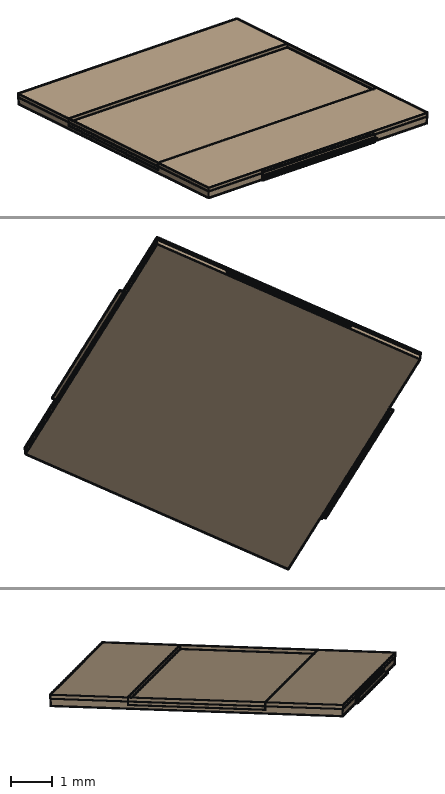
import cadquery as cq
import math

TOP_LENGTH = 7.14
TOP_WIDTH = 6.83
HEIGHT = 0.28
DRAFT_ANGLE = 2.8
BASE_HEIGHT = 0.18

CHANNEL_LENGTH = 3.35
END_WALL = 0.004
PAD_BOTTOM = 0.095

LEAD_WIDTH = 3.49
LEAD_SPAN = 7.4
FLANGE_SPAN = 7.2
FLANGE_HEIGHT = 0.21
TAB_BOTTOM = 0.1
TAB_THICKNESS = 0.03

DRAFT_SLOPE = math.tan(math.radians(DRAFT_ANGLE))
LID_HEIGHT = HEIGHT - BASE_HEIGHT


def box(x_range, y_range, z_range):
    """Axis-aligned block between the given (low, high) limits."""
    lows, highs = zip(x_range, y_range, z_range)
    sizes = [high - low for low, high in zip(lows, highs)]
    return cq.Workplane("XY").box(*sizes, centered=False).translate(lows)


def package_layer(bottom, top):
    """Slice of the drafted package between two heights."""
    drop_to_top = HEIGHT - top
    inset = 2 * drop_to_top * DRAFT_SLOPE
    return (
        cq.Workplane("XY", origin=(0, 0, top))
        .rect(TOP_LENGTH - inset, TOP_WIDTH - inset)
        .extrude(bottom - top, taper=DRAFT_ANGLE)
    )


def end_pads(bottom, top):
    """Upright-faced block through the package that fills out both drafted Y ends."""
    return box(
        (-CHANNEL_LENGTH / 2, CHANNEL_LENGTH / 2),
        (-TOP_WIDTH / 2, TOP_WIDTH / 2),
        (bottom, top),
    )


def make_base():
    return package_layer(0, BASE_HEIGHT).union(end_pads(PAD_BOTTOM, BASE_HEIGHT))


def lid_channel():
    """Recess through the full lid height; its Y ends follow the draft of the package."""
    half_width_top = TOP_WIDTH / 2 - END_WALL
    half_width_bottom = half_width_top - LID_HEIGHT * DRAFT_SLOPE
    return (
        cq.Workplane("YZ", origin=(-CHANNEL_LENGTH / 2, 0, 0))
        .polyline([
            (-half_width_bottom, BASE_HEIGHT),
            (half_width_bottom, BASE_HEIGHT),
            (half_width_top, HEIGHT),
            (-half_width_top, HEIGHT),
        ])
        .close()
        .extrude(CHANNEL_LENGTH)
    )


def make_lid():
    plate = package_layer(BASE_HEIGHT, HEIGHT).union(end_pads(BASE_HEIGHT, HEIGHT))
    return plate.cut(lid_channel())


def make_lead(side):
    """Lead on the +X (side = 1) or -X (side = -1) wall: an upright flange with a flat tab."""
    inner_x = TOP_LENGTH / 2 - HEIGHT * DRAFT_SLOPE
    y_range = (-LEAD_WIDTH / 2, LEAD_WIDTH / 2)
    flange = box((inner_x, FLANGE_SPAN / 2), y_range, (0, FLANGE_HEIGHT))
    tab = box((inner_x, LEAD_SPAN / 2), y_range, (TAB_BOTTOM, TAB_BOTTOM + TAB_THICKNESS))
    lead = flange.union(tab).cut(package_layer(0, HEIGHT))
    return lead if side > 0 else lead.mirror("YZ")


base = make_base()
lid = make_lid()
leads = [make_lead(side) for side in (-1, 1)]

result = cq.Compound.makeCompound([base.val(), lid.val(), *[lead.val() for lead in leads]])